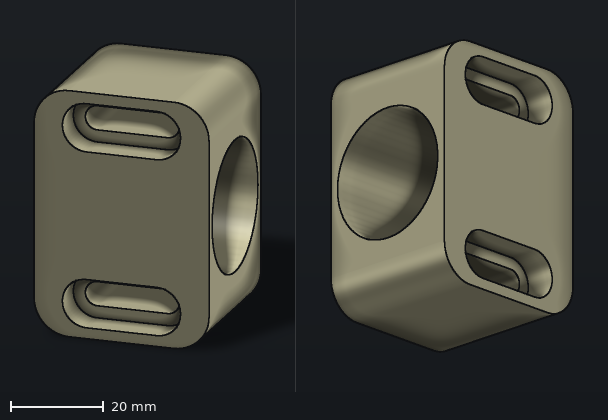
import cadquery as cq

width = 40.0
depth = 34.0
height = 56.0
corner_radius = 8.0

bore_diameter = 30.0

slot_spacing = 40.0
slot_straight = 16.0
slot_width = 5.5
recess_width = 11.0
recess_depth = 7.15


def slot_cutter(cutter_width, start_y, length):
    """Pair of rounded slots running from start_y towards +Y."""
    return (
        cq.Workplane("XZ", origin=(0, start_y, 0))
        .pushPoints([(0, -slot_spacing / 2), (0, slot_spacing / 2)])
        .slot2D(slot_straight + cutter_width, cutter_width)
        .extrude(-length)
    )


front_y = -depth / 2

block = cq.Workplane("XY").box(width, depth, height).edges("|Y").fillet(corner_radius)
bore = cq.Workplane("YZ", origin=(-width / 2, 0, 0)).circle(bore_diameter / 2).extrude(width)
through_slots = slot_cutter(slot_width, front_y, depth)
recesses = slot_cutter(recess_width, front_y, recess_depth)

result = block.cut(bore).cut(through_slots).cut(recesses)